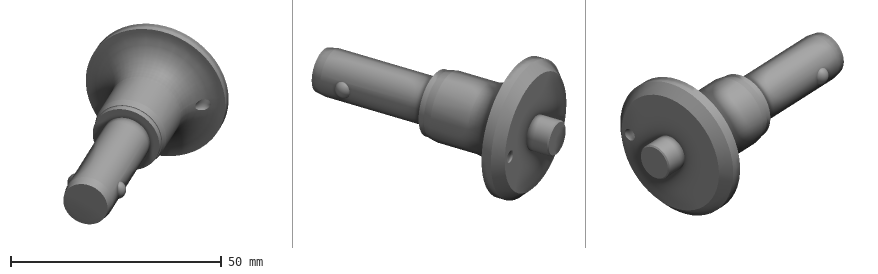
import cadquery as cq
import math

total_length = 63.8

shank_radius = 6.0
tip_radius = 5.55
tip_taper_length = 2.55

ball_radius = 2.25
ball_position = 8.55
ball_reach = 7.3

collar_start = 30.7
collar_radius = 8.35
collar_length = 1.5
body_radius = 8.95
body_taper_radius = 8.55
body_taper_length = 2.0
flare_start = 44.35

flange_diameter = 35.0
flange_radius = flange_diameter / 2
rim_thickness = 2.55
flange_chamfer = 2.4
flare_radius = flange_radius - body_radius

button_radius = 4.45
button_chamfer = 0.3

hole_radius = 1.5
hole_offset = 12.5

taper_start = collar_start + collar_length
taper_end = taper_start + body_taper_length
rim_start = flare_start + flare_radius
rim_end = rim_start + rim_thickness
flange_top = rim_end + flange_chamfer

diagonal = flare_radius * math.sqrt(0.5)
flare_middle = (flange_radius - diagonal, flare_start + diagonal)

pin = (
    cq.Workplane("XY")
    .moveTo(0, 0)
    .lineTo(tip_radius, 0)
    .lineTo(shank_radius, tip_taper_length)
    .lineTo(shank_radius, collar_start)
    .lineTo(collar_radius, collar_start)
    .lineTo(collar_radius, taper_start)
    .lineTo(body_taper_radius, taper_start)
    .lineTo(body_radius, taper_end)
    .lineTo(body_radius, flare_start)
    .threePointArc(flare_middle, (flange_radius, rim_start))
    .lineTo(flange_radius, rim_end)
    .lineTo(flange_radius - flange_chamfer, flange_top)
    .lineTo(button_radius, flange_top)
    .lineTo(button_radius, total_length - button_chamfer)
    .lineTo(button_radius - button_chamfer, total_length)
    .lineTo(0, total_length)
    .close()
    .revolve(360, (0, 0, 0), (0, 1, 0))
)

for side in (-1, 1):
    ball_centre = (side * (ball_reach - ball_radius), ball_position, 0)
    pin = pin.union(cq.Workplane("XY").sphere(ball_radius).translate(ball_centre))

lanyard_hole = cq.Workplane(
    cq.Solid.makeCylinder(
        hole_radius, total_length, cq.Vector(hole_offset, 0, 0), cq.Vector(0, 1, 0)
    )
)

result = pin.cut(lanyard_hole)